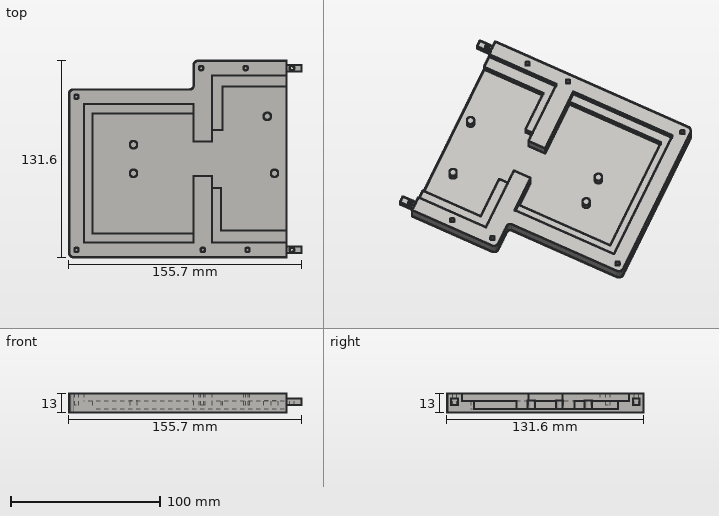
import cadquery as cq

body_length = 145.6
body_width = 131.6
body_height = 13.0
step_x = 83.3
step_y = 112.5
corner_radius = 3.1
step_inner_radius = 2.5

wall = 10.0
floor_thickness = 2.5
ledge_top = 7.8
divider_thickness = 12.3
divider_right = step_x + divider_thickness
gap_front = 54.3
gap_rear = 77.4

left_ledge_side = 5.6
left_ledge_ends = 6.0
rear_ledge_depth = 7.2
rear_ledge_width = 7.2
rear_ledge_end = 85.3
front_ledge_depth = 8.0
front_ledge_width = 6.0
front_ledge_end = 46.4

pin_diameter = 5.0
pin_height = 5.8
pin_points = [(43.1, 75.4), (43.1, 56.2), (132.7, 94.4), (137.5, 56.2)]
hole_diameter = 3.0
hole_depth = 7.8
hole_inset = 5.0
front_hole_y = hole_inset
rear_hole_y = body_width - hole_inset
hole_points = [
    (hole_inset, front_hole_y),
    (89.5, front_hole_y),
    (119.5, front_hole_y),
    (hole_inset, step_y - hole_inset),
    (88.5, rear_hole_y),
    (118.2, rear_hole_y),
]

lug_length = 10.1
lug_size = 4.5
lug_bottom = 5.0
lug_hole_offset = 3.6


def block(x_range, y_range, z_range):
    """Axis-aligned box between the given limits."""
    x0, x1 = x_range
    y0, y1 = y_range
    z0, z1 = z_range
    return cq.Workplane("XY").box(x1 - x0, y1 - y0, z1 - z0, centered=False).translate((x0, y0, z0))


def vertical_cylinders(points, diameter, bottom, height):
    """Upright cylinders standing on the level 'bottom'."""
    return cq.Workplane("XY").workplane(offset=bottom).pushPoints(points).circle(diameter / 2).extrude(height)


def make_body():
    outline = [
        (0, 0),
        (body_length, 0),
        (body_length, body_width),
        (step_x, body_width),
        (step_x, step_y),
        (0, step_y),
    ]
    body = cq.Workplane("XY").polyline(outline).close().extrude(body_height)
    for x, y in [(0, 0), (0, step_y), (step_x, body_width)]:
        body = body.edges(cq.NearestToPointSelector((x, y, body_height / 2))).fillet(corner_radius)
    inner_corner = cq.NearestToPointSelector((step_x, step_y, body_height / 2))
    return body.edges(inner_corner).fillet(step_inner_radius)


def make_cavity():
    """Left and right pockets joined through the gap in the divider, less the ledges."""
    depth_range = (floor_thickness, body_height)
    ledge_range = (floor_thickness, ledge_top)
    pocket_front = wall
    left_rear = step_y - wall
    right_rear = body_width - wall

    cavity = block((wall, step_x), (pocket_front, left_rear), depth_range)
    cavity = cavity.union(block((divider_right, body_length), (pocket_front, right_rear), depth_range))
    cavity = cavity.union(block((step_x, divider_right), (gap_front, gap_rear), depth_range))

    ledges = [
        ((wall, wall + left_ledge_side), (pocket_front, left_rear)),
        ((wall, step_x), (pocket_front, pocket_front + left_ledge_ends)),
        ((wall, step_x), (left_rear - left_ledge_ends, left_rear)),
        ((divider_right, body_length), (right_rear - rear_ledge_depth, right_rear)),
        ((divider_right, divider_right + rear_ledge_width), (rear_ledge_end, right_rear)),
        ((divider_right, body_length), (pocket_front, pocket_front + front_ledge_depth)),
        ((divider_right, divider_right + front_ledge_width), (pocket_front, front_ledge_end)),
    ]
    for x_range, y_range in ledges:
        cavity = cavity.cut(block(x_range, y_range, ledge_range))
    return cavity


def make_lug(center_y):
    lug = block(
        (body_length, body_length + lug_length),
        (center_y - lug_size / 2, center_y + lug_size / 2),
        (lug_bottom, lug_bottom + lug_size),
    )
    hole_center = (body_length + lug_hole_offset, center_y)
    return lug.cut(vertical_cylinders([hole_center], hole_diameter, lug_bottom, lug_size))


result = make_body().cut(make_cavity())
result = result.union(vertical_cylinders(pin_points, pin_diameter, floor_thickness, pin_height))
result = result.cut(vertical_cylinders(hole_points, hole_diameter, body_height - hole_depth, hole_depth))
for lug_y in (front_hole_y, rear_hole_y):
    result = result.union(make_lug(lug_y))